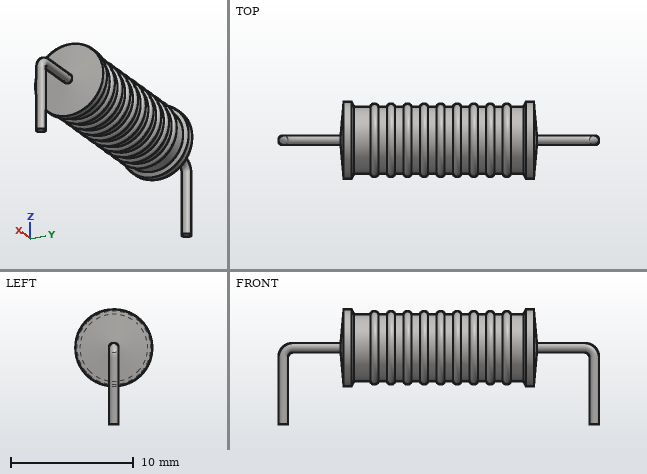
import cadquery as cq
import math

LEAD_DIAMETER = 0.8
LEAD_PITCH = 25.4
BEND_RADIUS = 0.8
LEAD_DROP = 6.25

BODY_RADIUS = 5.5 / 2
CAP_RADIUS = 6.3 / 2
BODY_LENGTH = 16.0
SEAT_RADIUS = 0.6
DOME_HEIGHT = 0.23
CAP_RIM_LENGTH = 0.65
CAP_TAPER_LENGTH = 0.2

RING_COUNT = 9
RING_PITCH = 1.35
RING_HEIGHT = 0.25
RING_SECTION_RADIUS = 0.35
RING_SHIFT = 0.15


def make_body():
    """Capped cylinder, turned about the X axis."""
    seat_x = BODY_LENGTH / 2
    rim_outer_x = seat_x - DOME_HEIGHT
    rim_inner_x = rim_outer_x - CAP_RIM_LENGTH
    taper_end_x = rim_inner_x - CAP_TAPER_LENGTH
    right_half = [
        (taper_end_x, BODY_RADIUS),
        (rim_inner_x, CAP_RADIUS),
        (rim_outer_x, CAP_RADIUS),
        (seat_x, SEAT_RADIUS),
        (seat_x, 0),
    ]
    left_half = [(-x, radius) for x, radius in reversed(right_half)]
    profile = cq.Workplane("XY").polyline(left_half + right_half).close()
    return profile.revolve(360, (0, 0, 0), (1, 0, 0))


def make_ring(center_x):
    """Torus partly sunk into the body, so that only its rounded crown stands out."""
    section_center_radius = BODY_RADIUS + RING_HEIGHT - RING_SECTION_RADIUS
    section = cq.Workplane("XY").center(center_x, section_center_radius).circle(RING_SECTION_RADIUS)
    axis_start = (0, -section_center_radius, 0)
    axis_end = (1, -section_center_radius, 0)
    return section.revolve(360, axis_start, axis_end)


def make_leads():
    """One wire along the body axis, bent down at both ends."""
    lead_x = LEAD_PITCH / 2
    bend_start_x = lead_x - BEND_RADIUS
    bend_middle_x = bend_start_x + BEND_RADIUS * math.sin(math.radians(45))
    bend_middle_z = BEND_RADIUS * (math.cos(math.radians(45)) - 1)
    path = (
        cq.Workplane("XZ")
        .moveTo(-lead_x, -LEAD_DROP)
        .lineTo(-lead_x, -BEND_RADIUS)
        .threePointArc((-bend_middle_x, bend_middle_z), (-bend_start_x, 0))
        .lineTo(bend_start_x, 0)
        .threePointArc((bend_middle_x, bend_middle_z), (lead_x, -BEND_RADIUS))
        .lineTo(lead_x, -LEAD_DROP)
    )
    section = cq.Workplane("XY", origin=(-lead_x, 0, -LEAD_DROP)).circle(LEAD_DIAMETER / 2)
    return section.sweep(path)


result = make_body()
first_ring_x = RING_SHIFT - RING_PITCH * (RING_COUNT - 1) / 2
for index in range(RING_COUNT):
    result = result.union(make_ring(first_ring_x + index * RING_PITCH))
result = result.union(make_leads())